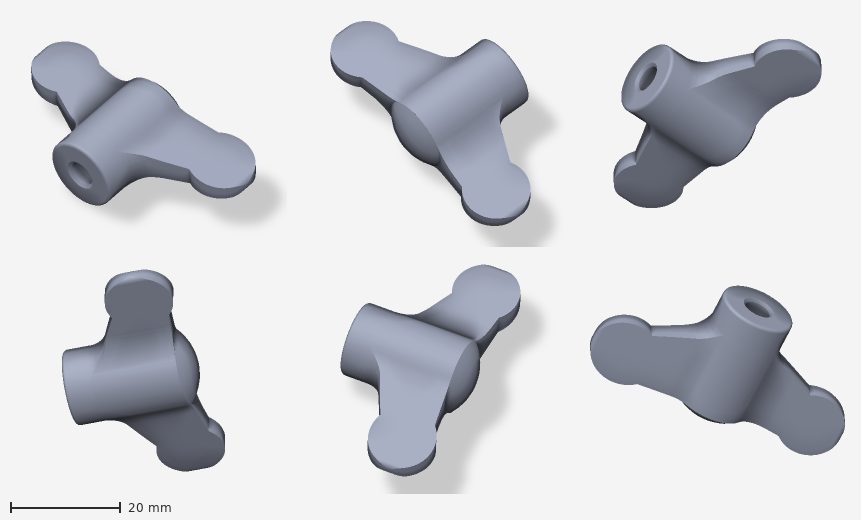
import cadquery as cq
import math


span = 50.0
height = 24.0
base_radius = 7.0
base_edge_radius = 0.6
hub_radius = 14.01 / 2

neck_start = 5.14
neck_radius = 4.0
neck_flare_angle = 26.5
shoulder_height = 21.27
wing_angle = 7.5
lobe_radius = 6.25

flat_offset = 0.85
taper_offset = 4.9
flat_blend_radius = 7.0
taper_blend_radius = 6.0
tip_radius = 1.0

bore_diameter = 4.92
bore_mouth_diameter = 6.0
bore_depth = 12.0
drill_point_angle = 118.0

tip_x = span / 2
lobe_center = (tip_x - lobe_radius, height - lobe_radius)


def polar(radius, degrees, center=(0.0, 0.0)):
    """Point at a given radius and direction from a centre."""
    angle = math.radians(degrees)
    return (center[0] + radius * math.cos(angle), center[1] + radius * math.sin(angle))


def scaled(point, factor):
    """Point scaled about the origin; a factor of -1 gives half a turn."""
    return (factor * point[0], factor * point[1])


def reach_lobe(start, degrees):
    """First point where a line from start in the given direction meets the lobe circle."""
    ux, uy = polar(1.0, degrees)
    dx = lobe_center[0] - start[0]
    dy = lobe_center[1] - start[1]
    along = dx * ux + dy * uy
    aside = dx * uy - dy * ux
    return polar(along - math.sqrt(lobe_radius**2 - aside**2), degrees, start)


def make_turned_body():
    """Base, flared neck, wing lobes and dome, turned about the Y axis."""
    neck_center = (base_radius + neck_radius, neck_start)
    neck_end_angle = 90 + neck_flare_angle
    neck_end = polar(neck_radius, neck_end_angle, neck_center)
    neck_mid = polar(neck_radius, (180 + neck_end_angle) / 2, neck_center)
    shoulder = (base_radius, shoulder_height)
    dome_rise = height - shoulder_height
    dome_radius = (base_radius**2 + dome_rise**2) / (2 * dome_rise)
    dome_half_angle = math.degrees(math.asin(base_radius / dome_radius))
    dome_mid = polar(dome_radius, 90 - dome_half_angle / 2, (0, height - dome_radius))

    outline = (
        cq.Workplane("XY")
        .lineTo(base_radius - base_edge_radius, 0)
        .radiusArc((base_radius, base_edge_radius), -base_edge_radius)
        .lineTo(base_radius, neck_start)
        .threePointArc(neck_mid, neck_end)
        .lineTo(*reach_lobe(neck_end, neck_flare_angle))
        .threePointArc((tip_x, lobe_center[1]), reach_lobe(shoulder, wing_angle))
        .lineTo(*shoulder)
        .threePointArc(dome_mid, (0, height))
        .close()
    )
    return outline.revolve(360, (0, 0, 0), (0, 1, 0))


def blend_points(face_offset, face_normal, blend_radius, side):
    """Hub tangent, middle and face tangent points of the arc joining the hub to a wing face.

    The face is a line at face_offset from the axis with its normal at face_normal
    degrees; side is +1 if the arc lies clockwise from the normal, -1 otherwise.
    """
    center_distance = hub_radius + blend_radius
    swing = math.degrees(math.acos((face_offset + blend_radius) / center_distance))
    center_direction = face_normal - side * swing
    center = polar(center_distance, center_direction)
    on_hub = polar(hub_radius, center_direction)
    middle = polar(-blend_radius, (center_direction + face_normal) / 2, center)
    on_face = polar(-blend_radius, face_normal, center)
    return on_hub, middle, on_face


def make_wing_profile():
    """Hub circle with two tapered wings in XZ, extruded along the full height."""
    taper_normal = 90 - wing_angle
    taper_blend = blend_points(taper_offset, taper_normal, taper_blend_radius, 1)
    flat_blend = blend_points(flat_offset, -90, flat_blend_radius, -1)
    normal_x, normal_z = polar(1.0, taper_normal)
    tip_top = (tip_x, (taper_offset - tip_x * normal_x) / normal_z)
    tip_bottom = (tip_x, -flat_offset)

    profile = cq.Workplane("XZ").moveTo(*taper_blend[0])
    for turn in (1, -1):
        profile = (
            profile.threePointArc(scaled(taper_blend[1], turn), scaled(taper_blend[2], turn))
            .lineTo(*scaled(tip_top, turn))
            .lineTo(*scaled(tip_bottom, turn))
            .lineTo(*scaled(flat_blend[2], turn))
            .threePointArc(scaled(flat_blend[1], turn), scaled(flat_blend[0], turn))
            .threePointArc((0, -turn * hub_radius), scaled(taper_blend[0], -turn))
        )
    wings = profile.close().extrude(-height)
    wings = wings.edges("|Y and >X").fillet(tip_radius)
    return wings.edges("|Y and <X").fillet(tip_radius)


def make_bore():
    """Blind hole along Y with a 45 degree mouth chamfer and a conical drill point."""
    bore_radius = bore_diameter / 2
    mouth_radius = bore_mouth_diameter / 2
    point_length = bore_radius / math.tan(math.radians(drill_point_angle / 2))
    return (
        cq.Workplane("XY")
        .lineTo(mouth_radius, 0)
        .lineTo(bore_radius, mouth_radius - bore_radius)
        .lineTo(bore_radius, bore_depth)
        .lineTo(0, bore_depth + point_length)
        .close()
        .revolve(360, (0, 0, 0), (0, 1, 0))
    )


result = make_turned_body().intersect(make_wing_profile()).cut(make_bore())